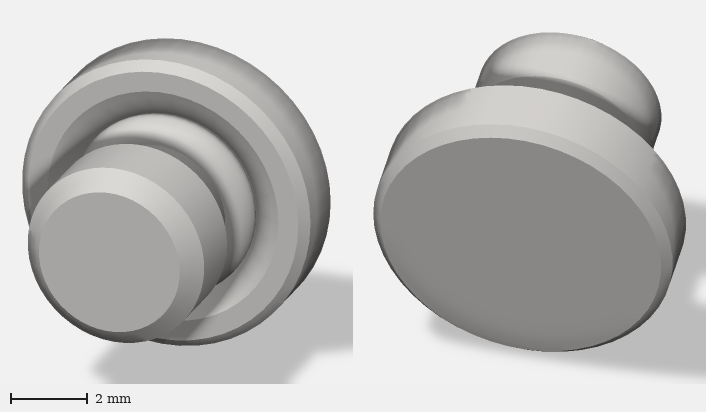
import cadquery as cq
import math

total_length = 6.0
head_radius = 4.0
head_thickness = 2.0
head_chamfer = 0.25

recess_mouth_radius = 3.2
recess_floor_radius = 2.42
recess_slope_degrees = 30

neck_radius = 1.91
tip_radius = 2.45
tip_length = 2.19
tip_shoulder_length = 0.3
tip_chamfer = 0.5

ring_tube_radius = 0.59
ring_projection = 0.5

recess_slope = math.radians(recess_slope_degrees)
recess_depth = (recess_mouth_radius - recess_floor_radius) * math.tan(recess_slope)
recess_floor_height = head_thickness - recess_depth

ring_top_height = head_thickness + ring_projection
ring_centre_height = ring_top_height - ring_tube_radius
ring_floor_drop = ring_centre_height - recess_floor_height
ring_foot_radius = neck_radius + math.sqrt(ring_tube_radius**2 - ring_floor_drop**2)

tip_start_height = total_length - tip_length
neck_end_height = tip_start_height - tip_shoulder_length


def profile_point(radius, height):
    """Place a (radius, height) pair in the XY plane, with height running toward -Y."""
    return (radius, -height)


def draw_head(profile):
    """Chamfered disc outline, from the axis at the back to the mouth of the recess."""
    return (
        profile
        .lineTo(*profile_point(head_radius - head_chamfer, 0))
        .lineTo(*profile_point(head_radius, head_chamfer))
        .lineTo(*profile_point(head_radius, head_thickness - head_chamfer))
        .lineTo(*profile_point(head_radius - head_chamfer, head_thickness))
        .lineTo(*profile_point(recess_mouth_radius, head_thickness))
    )


def draw_recess_and_ring(profile):
    """Recess cone, its flat floor, then the ring's arc up to the neck."""
    arc_middle = profile_point(neck_radius + ring_tube_radius, ring_centre_height)
    arc_end = profile_point(neck_radius, ring_top_height)
    return (
        profile
        .lineTo(*profile_point(recess_floor_radius, recess_floor_height))
        .lineTo(*profile_point(ring_foot_radius, recess_floor_height))
        .threePointArc(arc_middle, arc_end)
    )


def draw_shank(profile):
    """Neck, sloping shoulder and chamfered tip, ending on the axis."""
    return (
        profile
        .lineTo(*profile_point(neck_radius, neck_end_height))
        .lineTo(*profile_point(tip_radius, tip_start_height))
        .lineTo(*profile_point(tip_radius, total_length - tip_chamfer))
        .lineTo(*profile_point(tip_radius - tip_chamfer, total_length))
        .lineTo(*profile_point(0, total_length))
    )


profile = cq.Workplane("XY").moveTo(0, 0)
profile = draw_head(profile)
profile = draw_recess_and_ring(profile)
profile = draw_shank(profile)

result = profile.close().revolve(360, (0, 0, 0), (0, 1, 0))